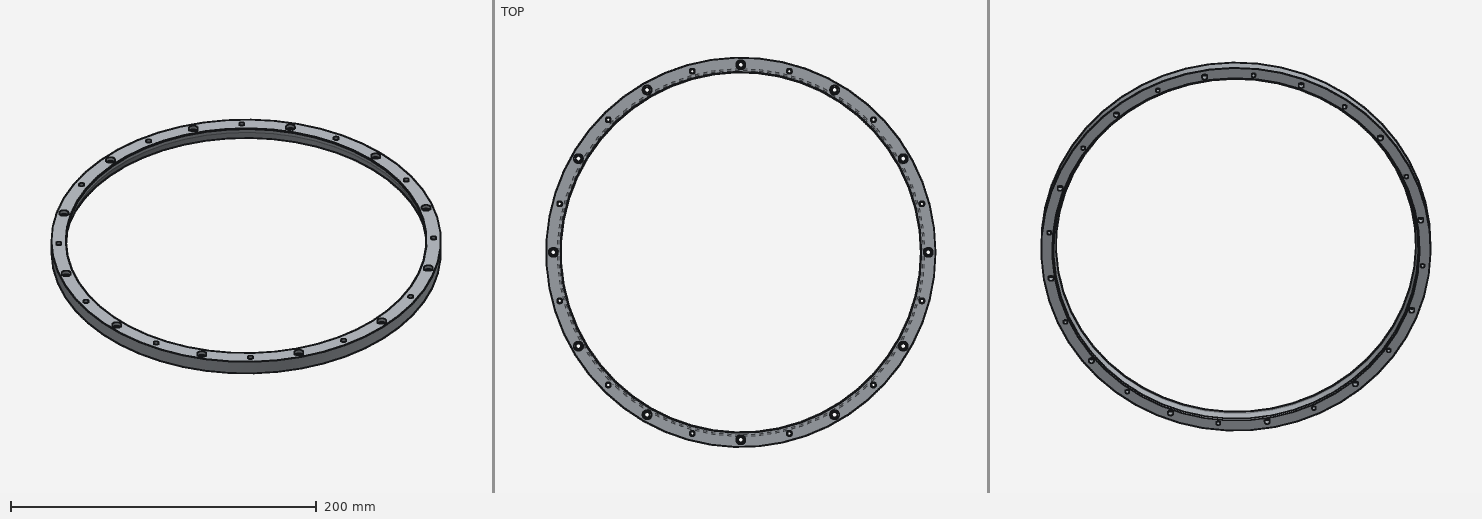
import cadquery as cq
import math

outer_diameter = 254.6
bore_diameter = 235.03
thickness = 10.0
outer_rim_chamfer = 0.2
bore_top_chamfer = 0.5
bore_bottom_chamfer = 1.0

land_end_depth = 3.0
flare_angle = 15.0

bolt_circle_diameter = 245.0
holes_per_set = 12
hole_pitch = 360.0 / holes_per_set
screw_diameter = 3.5
head_diameter = 6.0
head_depth = 3.0
pin_diameter = 2.6
pin_mouth_diameter = 3.5
pin_mouth_depth = 3.0


def ring_body():
    """Revolve the ring section, with its chamfered rims, around Z."""
    bore_radius = bore_diameter / 2
    outer_radius = outer_diameter / 2
    land_end_height = thickness - land_end_depth
    flare_slope = math.tan(math.radians(flare_angle))
    flare_end_radius = bore_radius + flare_slope * (land_end_height - bore_bottom_chamfer)
    section = [
        (flare_end_radius, bore_bottom_chamfer),
        (flare_end_radius + bore_bottom_chamfer, 0),
        (outer_radius - outer_rim_chamfer, 0),
        (outer_radius, outer_rim_chamfer),
        (outer_radius, thickness - outer_rim_chamfer),
        (outer_radius - outer_rim_chamfer, thickness),
        (bore_radius + bore_top_chamfer, thickness),
        (bore_radius, thickness - bore_top_chamfer),
        (bore_radius, land_end_height),
    ]
    return cq.Workplane("XZ").polyline(section).close().revolve(360, (0, 0, 0), (0, 1, 0))


def hole_centres(body, start_angle):
    """Place one set of hole centres on the bolt circle of the top face."""
    top_plane = body.faces(">Z").workplane(origin=(0, 0, thickness))
    return top_plane.polarArray(bolt_circle_diameter / 2, start_angle, 360, holes_per_set)


def add_screw_holes(body):
    """Cut counterbored through holes, the first one on the X axis."""
    return hole_centres(body, 0).cboreHole(screw_diameter, head_diameter, head_depth)


def add_pin_holes(body):
    """Cut counterbored through holes midway between the screw holes."""
    centres = hole_centres(body, hole_pitch / 2)
    return centres.cboreHole(pin_diameter, pin_mouth_diameter, pin_mouth_depth)


result = add_pin_holes(add_screw_holes(ring_body()))